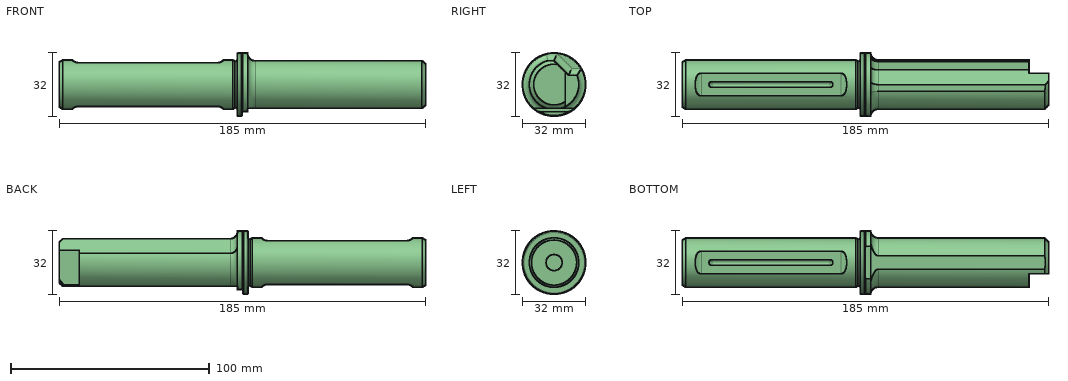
import cadquery as cq
import math

LENGTH = 185.0
SHAFT_DIAMETER = 25.0
SHAFT_RADIUS = SHAFT_DIAMETER / 2

LEFT_CHAMFER_LENGTH = 1.8
LEFT_CHAMFER_DEPTH = 1.1
BORE_DIAMETER = 8.1
BORE_RADIUS = BORE_DIAMETER / 2
BORE_DEPTH = 18.5

FLAT_HEIGHT = 11.1
FLAT_START = 9.6
FLAT_END = 80.0
FLAT_RUNOUT_RADIUS = 4.0

FLAT_GROOVE_START = 13.5
FLAT_GROOVE_END = 76.0
FLAT_GROOVE_RADIUS = 1.5

RELIEF_START = 87.5
RELIEF_FLOOR_START = 88.6
RELIEF_RADIUS = 11.8
RELIEF_FILLET = 0.5
COLLAR_START = 89.7
COLLAR_STEP = 92.3
COLLAR_END = 95.0
COLLAR_DIAMETER = 32.0
COLLAR_RADIUS = COLLAR_DIAMETER / 2
COLLAR_ROUNDING = 0.7
COLLAR_FLAT_HEIGHT = 13.7
COLLAR_GROOVE_DEPTH = 0.4

RIDGE_HEIGHT = 12.0
TONGUE_START = 7.4
TONGUE_HEIGHT = RIDGE_HEIGHT - TONGUE_START
ROOT_RADIUS = 3.7
RIGHT_CHAMFER = 2.2
TONGUE_END = 175.0
STEP_SIDE = 5.7


def x_cylinder(radius, start, end):
    """Cylinder on the shaft axis between two X positions."""
    return cq.Workplane("YZ").workplane(offset=start).circle(radius).extrude(end - start)


def box(x_range, y_range, z_range):
    """Box given by its limits along each axis."""
    sizes = [high - low for low, high in (x_range, y_range, z_range)]
    corner = (x_range[0], y_range[0], z_range[0])
    return cq.Workplane("XY").box(*sizes, centered=False).translate(corner)


def left_shaft():
    """Turned left length: chamfered end and relief groove beside the collar."""
    return (
        cq.Workplane("XZ")
        .moveTo(0, 0)
        .lineTo(0, SHAFT_RADIUS - LEFT_CHAMFER_DEPTH)
        .lineTo(LEFT_CHAMFER_LENGTH, SHAFT_RADIUS)
        .lineTo(RELIEF_START, SHAFT_RADIUS)
        .lineTo(RELIEF_FLOOR_START, RELIEF_RADIUS)
        .lineTo(COLLAR_START - RELIEF_FILLET, RELIEF_RADIUS)
        .radiusArc((COLLAR_START, RELIEF_RADIUS + RELIEF_FILLET), -RELIEF_FILLET)
        .lineTo(COLLAR_START, 0)
        .close()
        .revolve(360, (0, 0, 0), (1, 0, 0))
    )


def flat_cutter():
    """Material above the top flat, with a rounded run-out at both ends."""
    cutter = box(
        (FLAT_START - FLAT_RUNOUT_RADIUS, FLAT_END + FLAT_RUNOUT_RADIUS),
        (-SHAFT_RADIUS, SHAFT_RADIUS),
        (FLAT_HEIGHT, FLAT_HEIGHT + SHAFT_RADIUS),
    )
    return cutter.edges("<Z and |Y").fillet(FLAT_RUNOUT_RADIUS)


def flat_groove_cutter():
    """Round-bottomed groove with ball ends, centred on the top flat."""
    first_centre = FLAT_GROOVE_START + FLAT_GROOVE_RADIUS
    last_centre = FLAT_GROOVE_END - FLAT_GROOVE_RADIUS
    groove = x_cylinder(FLAT_GROOVE_RADIUS, first_centre, last_centre)
    for centre in (first_centre, last_centre):
        ball = cq.Workplane("XY").sphere(FLAT_GROOVE_RADIUS)
        groove = groove.union(ball.translate((centre, 0, 0)))
    return groove.translate((0, 0, FLAT_HEIGHT))


def right_shaft():
    """Collar and right length, joined by a root fillet that runs out at the collar rim."""
    ridge_y = -math.sqrt(SHAFT_RADIUS**2 - RIDGE_HEIGHT**2)
    tongue_y = math.sqrt(SHAFT_RADIUS**2 - TONGUE_HEIGHT**2)
    profile = (
        cq.Workplane("YZ")
        .workplane(offset=COLLAR_END)
        .moveTo(ridge_y, RIDGE_HEIGHT)
        .lineTo(0, RIDGE_HEIGHT)
        .lineTo(TONGUE_START, TONGUE_HEIGHT)
        .lineTo(tongue_y, TONGUE_HEIGHT)
        .threePointArc((0, -SHAFT_RADIUS), (ridge_y, RIDGE_HEIGHT))
        .close()
        .extrude(LENGTH - COLLAR_END)
    )
    end_blank = x_cylinder(SHAFT_RADIUS, COLLAR_END, LENGTH).faces(">X").chamfer(RIGHT_CHAMFER)
    profile = profile.intersect(end_blank)

    blank_radius = COLLAR_RADIUS + 2 * ROOT_RADIUS
    body = x_cylinder(blank_radius, COLLAR_START, COLLAR_END).union(profile)
    root_corner = (COLLAR_END, COLLAR_RADIUS, COLLAR_RADIUS)
    opposite_corner = (COLLAR_END, -COLLAR_RADIUS, -COLLAR_RADIUS)
    margin = ROOT_RADIUS / 2
    root = cq.selectors.BoxSelector(
        tuple(value - margin for value in opposite_corner),
        tuple(value + margin for value in root_corner),
        boundingbox=True,
    )
    body = body.edges(root).fillet(ROOT_RADIUS)
    rim = x_cylinder(COLLAR_RADIUS, COLLAR_START, LENGTH).faces("<X").edges().fillet(COLLAR_ROUNDING)
    return body.intersect(rim)


def collar_groove_cutter():
    """Fine V-groove around the rim where the two halves of the collar meet."""
    return (
        cq.Workplane("XZ")
        .moveTo(COLLAR_STEP - COLLAR_GROOVE_DEPTH, COLLAR_RADIUS)
        .lineTo(COLLAR_STEP, COLLAR_RADIUS - COLLAR_GROOVE_DEPTH)
        .lineTo(COLLAR_STEP + COLLAR_GROOVE_DEPTH, COLLAR_RADIUS)
        .close()
        .revolve(360, (0, 0, 0), (1, 0, 0))
    )


def underside_cutter():
    """Flat under the right length and a lower flat on the right half of the collar."""
    side = (-COLLAR_RADIUS, COLLAR_RADIUS)
    depth = -2 * COLLAR_RADIUS
    shaft_flat = box((COLLAR_END, LENGTH), side, (depth, -RIDGE_HEIGHT))
    collar_flat = box((COLLAR_STEP, COLLAR_END), side, (depth, -COLLAR_FLAT_HEIGHT))
    return shaft_flat.union(collar_flat)


def step_cutter():
    """Material removed beside the right end, where the tongue stops short."""
    side = (STEP_SIDE, COLLAR_RADIUS)
    return box((TONGUE_END, LENGTH), side, (-COLLAR_RADIUS, COLLAR_RADIUS))


result = left_shaft().union(right_shaft())

for angle in (0, 180):
    for cutter in (flat_cutter(), flat_groove_cutter()):
        result = result.cut(cutter.rotate((0, 0, 0), (1, 0, 0), angle))

result = result.cut(x_cylinder(BORE_RADIUS, 0, BORE_DEPTH))
for cutter in (collar_groove_cutter(), underside_cutter(), step_cutter()):
    result = result.cut(cutter)